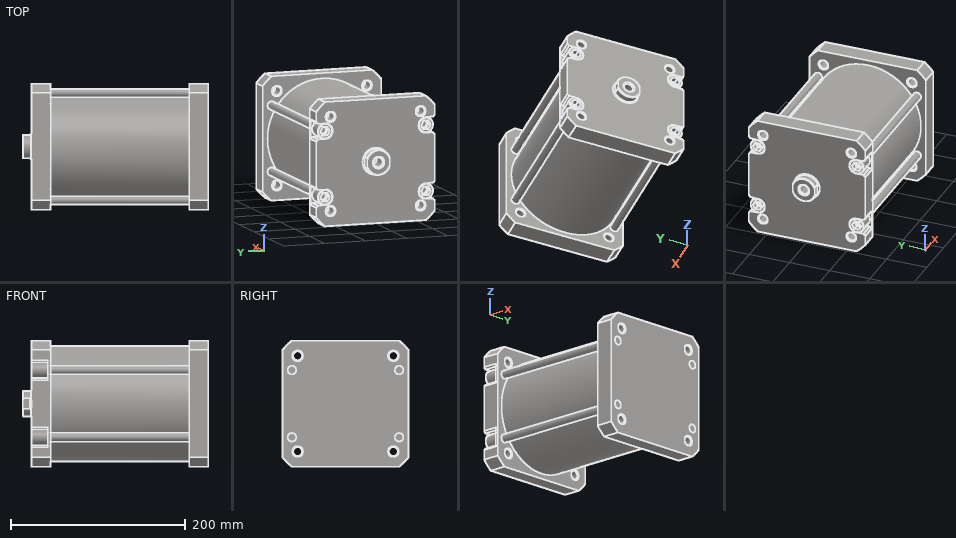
import cadquery as cq
import math


PLATE_SIZE = 145.0
PLATE_THICKNESS = 22.0
CORNER_RADIUS = 95.2
MOUNT_HOLE_OFFSET = 55.0
MOUNT_HOLE_DIAMETER = 10.2
MOUNT_HOLE_CHAMFER = 1.0

BARREL_LENGTH = 159.1
BARREL_DIAMETER = 133.0
REAR_PLATE_X = PLATE_THICKNESS + BARREL_LENGTH
OVERALL_REAR_X = REAR_PLATE_X + PLATE_THICKNESS

BOLT_OFFSET_Y = 61.5
BOLT_OFFSET_Z = 38.5
BOLT_DIAMETER = 9.8
BOLT_HEAD_DIAMETER = 17.7
BOLT_HEAD_LENGTH = 19.0
BOLT_HEAD_CHAMFER = 0.5
SOCKET_ACROSS_FLATS = 10.0
SOCKET_DEPTH = 7.7
SOCKET_PILOT_DIAMETER = 8.5
SOCKET_PILOT_DEPTH = 9.5
HEX_CORNER_RATIO = 2 / math.sqrt(3)

HEAD_SLOT_WIDTH = 18.3
HEAD_SLOT_MOUTH_CHAMFER = 2.3

ROD_DIAMETER = 31.5
ROD_TIP_DIAMETER = 29.6
ROD_PROTRUSION = 10.0
ROD_FLATS_WIDTH = 27.0
ROD_FLAT_LENGTH = 8.3
ROD_TIP_CHAMFER = 0.6
ROD_HOLE_DIAMETER = 11.0
ROD_HOLE_DEPTH = 21.3
ROD_HOLE_CHAMFER = 1.5
DRILL_POINT_ANGLE = 118

MOUNT_POINTS = [(y * MOUNT_HOLE_OFFSET, z * MOUNT_HOLE_OFFSET) for y in (-1, 1) for z in (-1, 1)]
BOLT_POINTS = [(y * BOLT_OFFSET_Y, z * BOLT_OFFSET_Z) for y in (-1, 1) for z in (-1, 1)]


def plane_at(x):
    """Workplane across the axis at x: local axes are Y and Z, extrusion runs toward +X."""
    return cq.Workplane("YZ", origin=(x, 0, 0))


def cylinder(x, diameter, length):
    """Round bar on the cylinder axis."""
    return plane_at(x).circle(diameter / 2).extrude(length)


def end_plate(x):
    """Square plate with turned corners, chamfered mounting holes and tie bolt holes."""
    plate = plane_at(x).rect(PLATE_SIZE, PLATE_SIZE).extrude(PLATE_THICKNESS)
    plate = plate.intersect(cylinder(x, 2 * CORNER_RADIUS, PLATE_THICKNESS))
    mount_holes = plane_at(x).pushPoints(MOUNT_POINTS).circle(MOUNT_HOLE_DIAMETER / 2)
    plate = plate.cut(mount_holes.extrude(PLATE_THICKNESS))
    hole_rims = cq.selectors.RadiusNthSelector(0)
    plate = plate.edges("%CIRCLE").edges(hole_rims).chamfer(MOUNT_HOLE_CHAMFER)
    bolt_holes = plane_at(x).pushPoints(BOLT_POINTS).circle(BOLT_DIAMETER / 2)
    return plate.cut(bolt_holes.extrude(PLATE_THICKNESS))


def head_slot(y, z):
    """Round-ended slot from a bolt centre out to the nearer plate side, flared at its mouth."""
    outward = math.copysign(1, y)
    half_width = HEAD_SLOT_WIDTH / 2
    half_mouth = half_width + HEAD_SLOT_MOUTH_CHAMFER
    side_y = outward * PLATE_SIZE / 2
    flare_y = side_y - outward * HEAD_SLOT_MOUTH_CHAMFER
    return (
        plane_at(0)
        .moveTo(y, z + half_width)
        .lineTo(flare_y, z + half_width)
        .lineTo(side_y, z + half_mouth)
        .lineTo(side_y, z - half_mouth)
        .lineTo(flare_y, z - half_width)
        .lineTo(y, z - half_width)
        .threePointArc((y - outward * half_width, z), (y, z + half_width))
        .close()
        .extrude(BOLT_HEAD_LENGTH)
    )


def front_plate():
    """End plate with the bolt head slots and the bore for the piston rod."""
    plate = end_plate(0)
    for y, z in BOLT_POINTS:
        plate = plate.cut(head_slot(y, z))
    return plate.cut(cylinder(0, ROD_DIAMETER, PLATE_THICKNESS))


def bolt_bar(y, z, x, diameter, end_x):
    """Round bar along a bolt axis from x to end_x."""
    return plane_at(x).center(y, z).circle(diameter / 2).extrude(end_x - x)


def bolt_socket(y, z):
    """Hexagon socket over a round pilot hole."""
    hexagon = plane_at(0).center(y, z).polygon(6, SOCKET_ACROSS_FLATS * HEX_CORNER_RATIO)
    return hexagon.extrude(SOCKET_DEPTH).union(bolt_bar(y, z, 0, SOCKET_PILOT_DIAMETER, SOCKET_PILOT_DEPTH))


def tie_bolt(y, z):
    """Socket-head bolt whose head is flush with the front plate and shank with the rear plate."""
    head = bolt_bar(y, z, 0, BOLT_HEAD_DIAMETER, BOLT_HEAD_LENGTH)
    head = head.faces("<X").edges().chamfer(BOLT_HEAD_CHAMFER)
    shank = bolt_bar(y, z, BOLT_HEAD_LENGTH, BOLT_DIAMETER, OVERALL_REAR_X)
    return head.union(shank).cut(bolt_socket(y, z))


def rod_blank():
    """Turned rod: chamfered tip, then a 45-degree step up to the full diameter at the plate."""
    tip_radius = ROD_TIP_DIAMETER / 2
    full_radius = ROD_DIAMETER / 2
    profile = [
        (-ROD_PROTRUSION, 0),
        (-ROD_PROTRUSION, tip_radius - ROD_TIP_CHAMFER),
        (-ROD_PROTRUSION + ROD_TIP_CHAMFER, tip_radius),
        (tip_radius - full_radius, tip_radius),
        (0, full_radius),
        (PLATE_THICKNESS, full_radius),
        (PLATE_THICKNESS, 0),
    ]
    return cq.Workplane("XY").polyline(profile).close().revolve(360, (0, 0), (1, 0))


def wrench_flat(side):
    """Material removed for one flat, ending in a 45-degree run-out."""
    flat_y = ROD_FLATS_WIDTH / 2
    runout = ROD_DIAMETER - flat_y
    flat_end = -ROD_PROTRUSION + ROD_FLAT_LENGTH
    profile = [
        (-ROD_PROTRUSION, side * flat_y),
        (flat_end, side * flat_y),
        (flat_end + runout, side * ROD_DIAMETER),
        (-ROD_PROTRUSION, side * ROD_DIAMETER),
    ]
    return cq.Workplane("XY").polyline(profile).close().extrude(ROD_DIAMETER, both=True)


def rod_hole():
    """Countersunk blind hole in the rod tip with a drill-point bottom."""
    radius = ROD_HOLE_DIAMETER / 2
    mouth = -ROD_PROTRUSION
    bottom = mouth + ROD_HOLE_DEPTH
    point = radius / math.tan(math.radians(DRILL_POINT_ANGLE / 2))
    profile = [
        (mouth, 0),
        (mouth, radius + ROD_HOLE_CHAMFER),
        (mouth + ROD_HOLE_CHAMFER, radius),
        (bottom, radius),
        (bottom + point, 0),
    ]
    return cq.Workplane("XY").polyline(profile).close().revolve(360, (0, 0), (1, 0))


def piston_rod():
    """Rod with two wrench flats and a hole in its tip; it fills the front plate bore."""
    rod = rod_blank()
    for side in (-1, 1):
        rod = rod.cut(wrench_flat(side))
    return rod.cut(rod_hole())


front = front_plate()
rear = end_plate(REAR_PLATE_X)
barrel = cylinder(PLATE_THICKNESS, BARREL_DIAMETER, BARREL_LENGTH)
rod = piston_rod()
tie_bolts = [tie_bolt(y, z) for y, z in BOLT_POINTS]

result = cq.Compound.makeCompound(
    [front.val(), rear.val(), barrel.val(), rod.val(), *[bolt.val() for bolt in tie_bolts]]
)